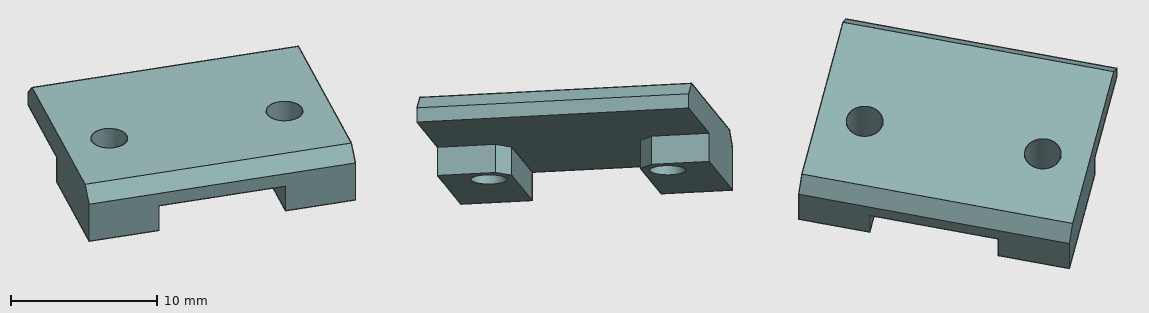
import cadquery as cq

width = 15.0
length = 19
height = 4.0
edge_chamfer = 1.0

foot_height = 2.0
foot_start = 7.0
foot_length = 5.0
foot_corner_chamfer = 0.95

hole_diameter = 2.5
hole_from_left = 8.75
hole_spacing = 12.5


def make_plate():
    plate = cq.Workplane("XY").box(
        width, length, height - foot_height, centered=(False, True, False)
    )
    plate = plate.translate((0, 0, foot_height))
    return plate.faces(">Z").edges("|Y").chamfer(edge_chamfer)


def make_foot():
    """Foot on the +Y end, with its inner -X corner cut off."""
    foot = cq.Workplane("XY").box(
        width - foot_start, foot_length, foot_height, centered=False
    )
    foot = foot.edges("|Z and <X and <Y").chamfer(foot_corner_chamfer)
    return foot.translate((foot_start, length / 2 - foot_length, 0))


foot = make_foot()
body = make_plate().union(foot).union(foot.mirror("XZ"))

hole_centers = [(hole_from_left, side * hole_spacing / 2) for side in (-1, 1)]
holes = (
    cq.Workplane("XY")
    .pushPoints(hole_centers)
    .circle(hole_diameter / 2)
    .extrude(height)
)

result = body.cut(holes)